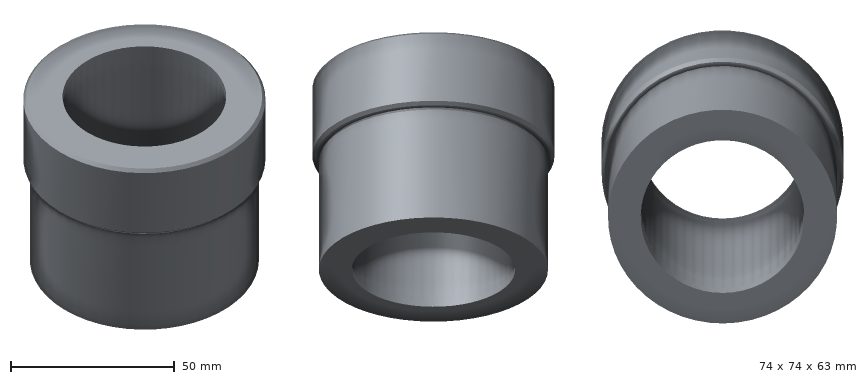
import cadquery as cq
import math

total_height = 63.0
collar_height = 25.0
collar_radius = 74.0 / 2
sleeve_radius = 70.0 / 2
bore_radius = 50.0 / 2
collar_chamfer = 1.0

relief_depth = 0.5
relief_wall_height = 0.5
relief_radius = sleeve_radius - relief_depth

collar_bottom = total_height - collar_height
relief_wall_bottom = collar_bottom - relief_wall_height
sleeve_top = relief_wall_bottom - relief_depth

diagonal_offset = relief_depth * math.sin(math.radians(45))
relief_arc_middle = (sleeve_radius - diagonal_offset, relief_wall_bottom - diagonal_offset)


def wall_profile():
    """Half section of the bushing wall, with radius along X and height along Z."""
    return (
        cq.Workplane("XZ")
        .moveTo(bore_radius, 0)
        .lineTo(sleeve_radius, 0)
        .lineTo(sleeve_radius, sleeve_top)
        .threePointArc(relief_arc_middle, (relief_radius, relief_wall_bottom))
        .lineTo(relief_radius, collar_bottom)
        .lineTo(collar_radius - collar_chamfer, collar_bottom)
        .lineTo(collar_radius, collar_bottom + collar_chamfer)
        .lineTo(collar_radius, total_height - collar_chamfer)
        .lineTo(collar_radius - collar_chamfer, total_height)
        .lineTo(bore_radius, total_height)
        .close()
    )


result = wall_profile().revolve(360, (0, 0, 0), (0, 1, 0))